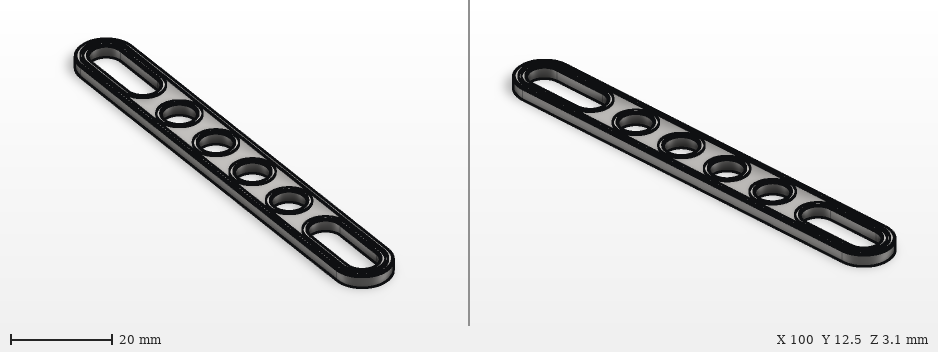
import cadquery as cq

length = 100.0
width = 12.5
thickness = 3.1
edge_chamfer = 0.3

pitch = width
hole_diameter = 7.0
hole_centres = [(index - 1.5) * pitch for index in range(4)]
slot_centre = 3 * pitch
slot_travel = pitch

collar_diameter = 9.2
rim_width = 1.1
recess_depth = 0.2


def stadium(centre_x, travel, diameter, bottom, height):
    """Upright prism with a round-ended outline lying along X."""
    base = cq.Workplane("XY", origin=(centre_x, 0, bottom))
    return base.slot2D(travel + diameter, diameter).extrude(height)


def openings(diameter, bottom, height):
    """Prisms of one diameter at every round hole and both end slots."""
    base = cq.Workplane("XY", origin=(0, 0, bottom))
    prisms = base.pushPoints([(x, 0) for x in hole_centres]).circle(diameter / 2).extrude(height)
    for side in (-1, 1):
        prisms = prisms.union(stadium(side * slot_centre, slot_travel, diameter, bottom, height))
    return prisms


bar = stadium(0, length - width, width, 0, thickness)
bar = bar.cut(openings(hole_diameter, 0, thickness))
bar = bar.faces("<Z or >Z").edges().chamfer(edge_chamfer)

recess_floor = thickness - recess_depth
recess = stadium(0, length - width, width - 2 * rim_width, recess_floor, recess_depth)
recess = recess.cut(openings(collar_diameter, recess_floor, recess_depth))

result = bar.cut(recess)